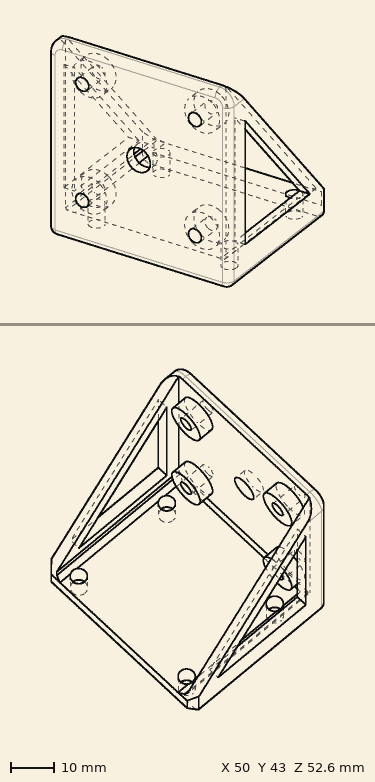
import cadquery as cq

width = 50.0
depth = 43.0
height = 52.6
half_width = width / 2

back_wall = 3.0
side_wall = 2.9
floor_top = 5.5
front_height = 5.6
edge_radius = 2.0
back_edge_radius = 1.95
top_corner_radius = 2 * edge_radius
front_chamfer = 1.95

floor_margin = 5.0
bevel_margin = 3.35
bevel_top = 6.2
steep_bevel_top = 6.75
back_bevel_end = 4.0

window_back = 6.9
window_front = 34.95
window_bottom = 9.35
window_top = 42.3

mount_pitch = 31.05
mount_centre_z = 27.55
mount_hole_diameter = 3.6
centre_hole_diameter = 6.4
boss_diameter = 9.6
boss_length = 4.0

floor_hole_diameter = 4.0
floor_hole_pitch_x = 36.55
floor_hole_pitch_y = 28.15
floor_hole_centre_y = 24.55


def full_width_prism(points):
    """Extrude a (Y, Z) outline across the whole width."""
    profile = cq.Workplane("YZ", origin=(-half_width, 0, 0)).polyline(points).close()
    return profile.extrude(width)


def outer_body():
    """Rounded block cut down to a wedge by the slope from the back plate to the front edge."""
    block = cq.Workplane("XY").box(width, depth, height, centered=(True, False, False))
    block = block.edges("|Y and >Z").fillet(top_corner_radius)
    block = block.edges("|Y and <Z").fillet(edge_radius)
    block = block.faces("<Y").edges().fillet(back_edge_radius)
    block = block.faces(">Y").edges().chamfer(front_chamfer)
    above_slope = [(depth, front_height), (depth, height), (back_wall, height)]
    return block.cut(full_width_prism(above_slope))


def cavity():
    """Space between the side walls, open at the front and top, with bevelled lower edges."""
    right_side = [
        (half_width - floor_margin, floor_top),
        (half_width - bevel_margin, bevel_top),
        (half_width - side_wall, steep_bevel_top),
        (half_width - side_wall, height),
    ]
    left_side = [(-x, z) for x, z in reversed(right_side)]
    section = cq.Workplane("XZ", origin=(0, back_wall, 0)).polyline(right_side + left_side).close()
    space = section.extrude(back_wall - depth)
    back_bevel = [(back_wall, floor_top), (back_bevel_end, floor_top), (back_wall, bevel_top)]
    return space.cut(full_width_prism(back_bevel))


def side_windows():
    """Triangular opening through both side walls."""
    return full_width_prism(
        [(window_back, window_bottom), (window_front, window_bottom), (window_back, window_top)]
    )


def mount_cylinders(diameter, start_y, length):
    """Four cylinders along +Y on the square mounting pattern."""
    plane = cq.Workplane("XZ", origin=(0, start_y, mount_centre_z))
    return plane.rarray(mount_pitch, mount_pitch, 2, 2).circle(diameter / 2).extrude(-length)


def centre_hole():
    """Hole through the middle of the back plate."""
    plane = cq.Workplane("XZ", origin=(0, 0, mount_centre_z))
    return plane.circle(centre_hole_diameter / 2).extrude(-back_wall)


def floor_holes():
    """Four holes through the floor and its side bevels."""
    plane = cq.Workplane("XY", origin=(0, floor_hole_centre_y, 0))
    pattern = plane.rarray(floor_hole_pitch_x, floor_hole_pitch_y, 2, 2)
    return pattern.circle(floor_hole_diameter / 2).extrude(steep_bevel_top)


result = (
    outer_body()
    .cut(cavity())
    .cut(side_windows())
    .union(mount_cylinders(boss_diameter, back_wall, boss_length))
    .cut(mount_cylinders(mount_hole_diameter, 0, back_wall + boss_length))
    .cut(centre_hole())
    .cut(floor_holes())
)